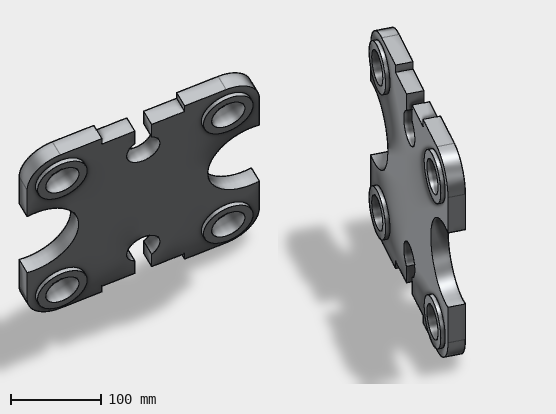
import cadquery as cq

side = 286.5
total_thickness = 25.5
boss_height = 5.2
plate_thickness = total_thickness - boss_height
corner_radius = 41.0

hole_diameter = 41.0
boss_diameter = 61.3
hole_spacing = 204.5

recess_width = 102.0
recess_depth = 10.3
slot_width = 20.5
keyhole_diameter = 41.0
keyhole_offset = 92.0

scallop_radius = 53.3
scallop_offset = 133.0


def prism(width, height, y, z):
    """Rectangular block through the plate, centred at (y, z)."""
    return cq.Workplane("YZ").center(y, z).rect(width, height).extrude(plate_thickness)


def cylinder(diameter, y, z, length):
    """Round bar along X from the -X face, centred at (y, z)."""
    return cq.Workplane("YZ").center(y, z).circle(diameter / 2).extrude(length)


plate = prism(side, side, 0, 0).edges("|X").fillet(corner_radius)

for direction in (-1, 1):
    plate = plate.cut(prism(recess_width, 2 * recess_depth, 0, direction * side / 2))

    slot_length = side / 2 - keyhole_offset
    slot_center = direction * (keyhole_offset + slot_length / 2)
    plate = plate.cut(prism(slot_width, slot_length, 0, slot_center))
    plate = plate.cut(cylinder(keyhole_diameter, 0, direction * keyhole_offset, plate_thickness))

    plate = plate.cut(cylinder(2 * scallop_radius, direction * scallop_offset, 0, plate_thickness))

for y_sign in (-1, 1):
    for z_sign in (-1, 1):
        y = y_sign * hole_spacing / 2
        z = z_sign * hole_spacing / 2
        plate = plate.union(cylinder(boss_diameter, y, z, total_thickness))
        plate = plate.cut(cylinder(hole_diameter, y, z, total_thickness))

result = plate